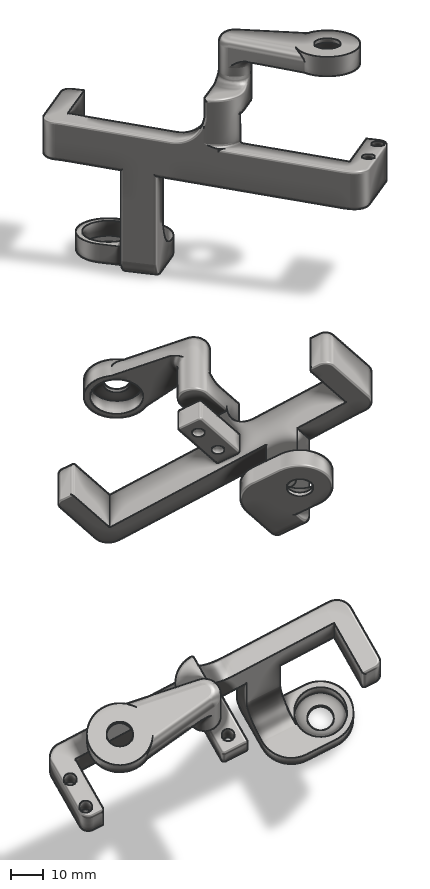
import cadquery as cq
import math

length = 103.2
height = 77.3
plate_depth = 7.0
edge_round = 1.0
corner_round = 5.0
soft_round = 3.0

arm_width = 7.0
arm_reach = 25.9
bar_height = 13.0
bar_bottom_left = 35.7
bar_drop = 5.1
bar_bottom_right = bar_bottom_left - bar_drop
bar_top_left = bar_bottom_left + bar_height
bar_top_right = bar_bottom_right + bar_height
root_z = (bar_bottom_left + bar_top_left) / 2

eye_radius = 10.0
eye_thickness = 6.5
eye_hole_radius = 4.0
bearing_radius = 8.0
bearing_depth = 5.1
eye_y = plate_depth + eye_radius
lower_eye_x = arm_width + eye_radius
upper_eye_x = length - lower_eye_x
part_depth = eye_y + eye_radius

stem_left = 25.5
stem_right = 37.2

column_left = 52.0
column_width = 10.0
column_right = column_left + column_width
column_round = column_width
post_radius = column_width / 2
post_x = column_left + post_radius
bracket_bottom = 54.8
bracket_top = 61.9
link_bottom = height - eye_thickness
link_end_radius = 9.5

tab_width = 9.0
tab_x = length / 2
screw_radius = 2.0
screw_rows = (12.1, 22.1)
right_screw_x = 100.6
screw_floor = bar_bottom_left


def box(x0, x1, y0, y1, z0, z1):
    """Block between two limits along each axis."""
    return cq.Workplane("XY").box(x1 - x0, y1 - y0, z1 - z0, centered=False).translate((x0, y0, z0))


def disc(x, y, radius, z0, z1):
    """Upright cylinder between two heights."""
    return cq.Workplane("XY", origin=(x, y, z0)).circle(radius).extrude(z1 - z0)


def bar_top(x):
    """Height of the bar's sloping top at x."""
    share = (x - arm_width) / (length - 2 * arm_width)
    return bar_top_left - bar_drop * share


def edges_at(body, points):
    """Select, for each point, the edge of the body lying closest to it."""
    def nearest(point):
        vertex = cq.Vertex.makeVertex(*point)
        return min(body.edges().vals(), key=lambda edge: edge.distance(vertex))

    return body.newObject([nearest(point) for point in points])


def make_bar():
    """Bar with its two arms; the outer vertical corners are rounded."""
    outline = [
        (0, bar_bottom_left), (arm_width, bar_bottom_left),
        (length - arm_width, bar_bottom_right), (length, bar_bottom_right),
        (length, bar_top_right), (length - arm_width, bar_top_right),
        (arm_width, bar_top_left), (0, bar_top_left),
    ]
    bar = cq.Workplane("XZ").polyline(outline).close().extrude(-arm_reach)
    space_between_arms = box(arm_width, length - arm_width, plate_depth, arm_reach, 0, height)
    bar = bar.cut(space_between_arms)
    bar = bar.edges("|Z and <Y").fillet(corner_round)
    arm_middle = (bar_bottom_left + bar_top_right) / 2
    outer_back = [(x, arm_reach, arm_middle) for x in (0, length)]
    return edges_at(bar, outer_back).fillet(soft_round)


def make_stem():
    """Stem with the lower lug; the foot is rounded outside and hollow inside."""
    stem = box(stem_left, stem_right, 0, plate_depth, 0, root_z)
    foot = box(stem_left, stem_right, 0, eye_y, 0, eye_thickness)
    lug = box(lower_eye_x, stem_right, plate_depth, part_depth, 0, eye_thickness)
    lug = lug.edges("|Z and >X and >Y").fillet(eye_radius)
    lug = lug.union(disc(lower_eye_x, eye_y, eye_radius, 0, eye_thickness))
    web = box(stem_left, stem_right, plate_depth, eye_y, eye_thickness, eye_thickness + eye_radius)
    hollow = (
        cq.Workplane("YZ", origin=(stem_left, eye_y, eye_thickness + eye_radius))
        .circle(eye_radius).extrude(stem_right - stem_left)
    )
    body = stem.union(foot).union(lug).union(web.cut(hollow))
    return body.edges("|X and <Y and <Z").fillet(corner_round)


def make_column():
    """Column with a quarter-round front corner, its top reaching back as a bracket under the post."""
    column = (
        cq.Workplane("XY", origin=(0, 0, root_z))
        .moveTo(column_left, 0)
        .radiusArc((column_right, column_round), -column_round)
        .lineTo(column_right, eye_y).lineTo(column_left, eye_y).close()
        .extrude(bracket_top - root_z)
    )
    under = box(column_left, column_right, plate_depth, eye_y, root_z, bracket_bottom)
    return column.cut(under)


def make_gusset():
    """Quarter-hollow gusset between the bar's sloping top and the column's left side."""
    slope = math.atan(bar_drop / (length - 2 * arm_width))
    centre_x = column_left - column_round
    centre_z = bar_top(centre_x) + column_round / math.cos(slope)
    foot_x = centre_x - column_round * math.sin(slope)
    middle = column_round / math.sqrt(2)
    return (
        cq.Workplane("XZ").moveTo(column_left, centre_z)
        .threePointArc((centre_x + middle, centre_z - middle), (foot_x, bar_top(foot_x)))
        .lineTo(foot_x, root_z).lineTo(column_left, root_z).close()
        .extrude(-plate_depth)
    )


def link_taper(bottom, top):
    """Tapered block whose sides are tangent to the post and to the link's end circle."""
    tilt = math.asin((link_end_radius - post_radius) / (upper_eye_x - post_x))

    def rim(centre_x, radius, side):
        return (centre_x - radius * math.sin(tilt), eye_y + side * radius * math.cos(tilt))

    corners = [
        rim(post_x, post_radius, -1), rim(upper_eye_x, link_end_radius, -1),
        rim(upper_eye_x, link_end_radius, 1), rim(post_x, post_radius, 1),
    ]
    return cq.Workplane("XY", origin=(0, 0, bottom)).polyline(corners).close().extrude(top - bottom)


def hollow_collar():
    """Disc around the post flaring from the post radius to a hollow fillet at its base."""
    flare = soft_round / math.sqrt(2)
    return (
        cq.Workplane("XZ")
        .lineTo(post_radius + soft_round, 0)
        .threePointArc(
            (post_radius + soft_round - flare, soft_round - flare), (post_radius, soft_round)
        )
        .lineTo(0, soft_round).close()
        .revolve(360, (0, 0, 0), (0, 1, 0))
    )


def make_post_and_link():
    """Post with a tapered link to the upper disc, hollow fillets above and below."""
    post = disc(post_x, eye_y, post_radius, bracket_bottom, height)
    link = link_taper(link_bottom, height)
    link_end = disc(upper_eye_x, eye_y, link_end_radius, link_bottom, height)
    body = post.union(link).union(link_end).faces(">Z").edges().fillet(soft_round)
    collar = hollow_collar()
    upper = collar.mirror("XY").translate((post_x, eye_y, link_bottom))
    lower = collar.translate((post_x, eye_y, bracket_top))
    bracket_plan = box(column_left, column_right, 0, eye_y, bracket_bottom, link_bottom)
    eye = disc(upper_eye_x, eye_y, eye_radius, link_bottom, height)
    return (
        body.union(upper.intersect(link_taper(bracket_top, link_bottom)))
        .union(lower.intersect(bracket_plan))
        .union(eye)
    )


def round_outer_edges(body):
    """Small rounding; each point starts a run that continues along smoothly joined edges."""
    stem_z = (eye_thickness + bar_bottom_right) / 2
    bar_left_x = (arm_width + stem_left) / 2
    bar_right_x = (column_right + length) / 2
    arc_middle = column_round / math.sqrt(2)
    runs = [
        (bar_left_x, 0, bar_top(bar_left_x)),
        (bar_right_x, 0, bar_top(bar_right_x)),
        (bar_left_x, 0, bar_top(bar_left_x) - bar_height),
        (bar_right_x, 0, bar_top(bar_right_x) - bar_height),
        (stem_left, 0, stem_z),
        (stem_right, 0, stem_z),
        (arm_width, arm_reach, root_z),
        (length - arm_width, arm_reach, bar_bottom_right + bar_height / 2),
        (column_left + arc_middle, column_round - arc_middle, bracket_top),
        (column_left, (plate_depth + eye_y) / 2, bracket_bottom),
    ]
    return edges_at(body, runs).fillet(edge_round)


def make_column_foot():
    """Small hollow fillet between the column's round face and the bar's sloping top."""
    reach = column_round + edge_round
    crest_z = bar_top(column_left) + bar_height / 2
    x0 = column_left - 2 * reach
    x1 = column_left + 2 * reach
    ramp = (
        cq.Workplane("XZ", origin=(0, column_round - 2 * reach, 0))
        .polyline([(x0, root_z), (x1, root_z), (x1, bar_top(x1)), (x0, bar_top(x0))]).close()
        .extrude(-4 * reach)
    )
    pillar = ramp.union(disc(column_left, column_round, column_round, root_z, crest_z))
    junction = (column_right, column_round, bar_top(column_right))
    pillar = edges_at(pillar, [junction]).fillet(edge_round)
    footprint = disc(column_left, column_round, reach, root_z, crest_z)
    quarter = box(column_left, x1, 0, plate_depth, root_z, crest_z)
    return pillar.intersect(footprint).intersect(quarter)


def make_tab():
    """Screw tab behind the bar, rounded on every edge away from the bar."""
    tab_left = tab_x - tab_width / 2
    tab = box(tab_left, tab_left + tab_width, plate_depth, part_depth, bar_bottom_left, bar_top_right)
    return tab.edges("not <Y").fillet(edge_round)


def make_bores():
    """Bearing seats and through holes; the lower seat opens upward and the upper one downward."""
    lower_seat = disc(lower_eye_x, eye_y, bearing_radius, eye_thickness - bearing_depth, eye_thickness)
    upper_seat = disc(upper_eye_x, eye_y, bearing_radius, link_bottom, link_bottom + bearing_depth)
    bores = lower_seat.union(upper_seat)
    bores = bores.union(disc(lower_eye_x, eye_y, eye_hole_radius, 0, eye_thickness))
    return bores.union(disc(upper_eye_x, eye_y, eye_hole_radius, link_bottom, height))


def make_screw_holes():
    """Two holes through the tab, and two of the same depth sunk in the right arm."""
    holes = cq.Workplane("XY")
    for x in (tab_x, right_screw_x):
        for y in screw_rows:
            holes = holes.add(disc(x, y, screw_radius, screw_floor, bar_top_right))
    return holes.combine()


body = make_bar().union(make_stem()).union(make_column()).union(make_gusset())
body = body.union(make_post_and_link()).clean()
body = round_outer_edges(body)
body = body.union(make_column_foot()).union(make_tab())
result = body.cut(make_bores()).cut(make_screw_holes())